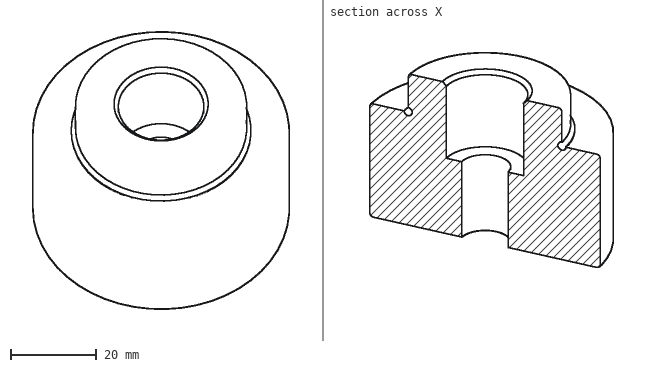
import cadquery as cq

body_diameter = 60.0
total_height = body_diameter * 2 / 3
body_height = body_diameter / 2
boss_diameter = body_diameter * 2 / 3
bore_diameter = body_diameter / 3
bore_depth = total_height / 2
through_diameter = 12.0
edge_size = body_diameter / 60


def rounded_body():
    """Wide cylinder with both outer rims rounded."""
    body = cq.Workplane("XY").circle(body_diameter / 2).extrude(body_height)
    return body.edges().fillet(edge_size)


def rounded_boss():
    """Narrower cylinder on the body, with its top rim rounded."""
    boss = cq.Workplane("XY").circle(boss_diameter / 2).extrude(total_height)
    return boss.faces(">Z").edges().fillet(edge_size)


def relief_groove():
    """Round-section ring centred on the corner between boss and body."""
    section = cq.Workplane("XZ").center(boss_diameter / 2, body_height).circle(edge_size)
    return section.revolve(360, (-boss_diameter / 2, 0), (-boss_diameter / 2, 1))


def stepped_bore():
    """Chamfered bore from the top, continuing as a smaller through hole."""
    bore = (
        cq.Workplane("XY", origin=(0, 0, total_height - bore_depth))
        .circle(bore_diameter / 2)
        .extrude(bore_depth)
    )
    lead_in = (
        cq.Workplane("XY", origin=(0, 0, total_height))
        .circle(bore_diameter / 2 + edge_size)
        .extrude(-edge_size, taper=45)
    )
    through_hole = cq.Workplane("XY").circle(through_diameter / 2).extrude(total_height)
    return bore.union(lead_in).union(through_hole)


result = rounded_body().union(rounded_boss()).cut(relief_groove()).cut(stepped_bore())